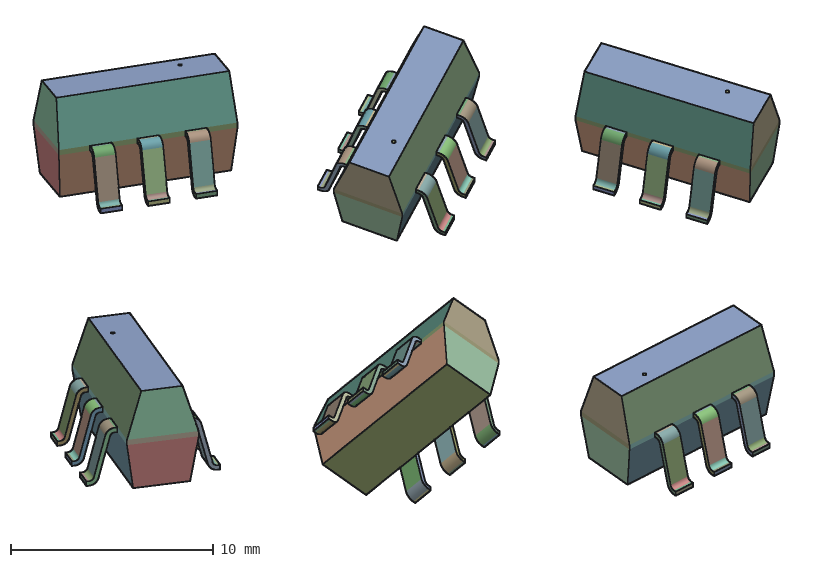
import cadquery as cq
import math

overall_width = 6.91
overall_height = 5.51

body_width = 3.71
body_length = 9.4
top_width = 2.14
top_length = 9.1
bottom_width = 2.95
bottom_length = 9.01
belt_height = 0.28
body_bottom = 0.254
belt_bottom = 2.735
belt_top = belt_bottom + belt_height

leads_per_side = 3
lead_pitch = 2.5
lead_width = 1.13
lead_thickness = 0.254
leg_lean = 15
bend_inner_radius = 0.25
bend_outer_radius = bend_inner_radius + lead_thickness
lead_bottom_at_body = belt_bottom
lead_top = lead_bottom_at_body + lead_thickness

marker_diameter = 0.18
marker_depth = 0.1
marker_x = -0.42
marker_y = lead_pitch


def tapered_block(width, length, z, end_width, end_length, end_z):
    """Straight-sided block between two centred rectangles at different heights."""
    return (
        cq.Workplane("XY", origin=(0, 0, z))
        .rect(width, length)
        .workplane(offset=end_z - z)
        .rect(end_width, end_length)
        .loft(ruled=True)
    )


def make_marker():
    return (
        cq.Workplane("XY", origin=(marker_x, marker_y, overall_height - marker_depth))
        .circle(marker_diameter / 2)
        .extrude(marker_depth)
    )


def make_body():
    belt = cq.Workplane("XY", origin=(0, 0, belt_bottom)).rect(body_width, body_length).extrude(belt_height)
    upper = tapered_block(body_width, body_length, belt_top, top_width, top_length, overall_height)
    lower = tapered_block(bottom_width, bottom_length, body_bottom, body_width, body_length, belt_bottom)
    return belt.union(upper).union(lower).cut(make_marker())


def make_lead(y):
    """Lead on the +X side, centred at y, butting against the body's belt."""
    wall_x = body_width / 2
    tip_x = overall_width / 2
    bend_angle = 90 - leg_lean

    middle_radius = (bend_inner_radius + bend_outer_radius) / 2
    bend_run = middle_radius * math.sin(math.radians(bend_angle))
    bend_drop = middle_radius * (1 - math.cos(math.radians(bend_angle)))
    leg_drop = lead_bottom_at_body - 2 * bend_drop
    leg_run = leg_drop * math.tan(math.radians(leg_lean))
    flat_length = (tip_x - wall_x - 2 * bend_run - leg_run) / 2

    shoulder_center = (wall_x + flat_length, lead_top - bend_outer_radius)
    foot_center = (tip_x - flat_length, bend_outer_radius)

    def shoulder_point(radius, angle):
        """Point on the shoulder bend, turned from straight up towards +X."""
        turn = math.radians(angle)
        return (
            shoulder_center[0] + radius * math.sin(turn),
            shoulder_center[1] + radius * math.cos(turn),
        )

    def foot_point(radius, angle):
        """Point on the foot bend, turned from straight down towards -X."""
        turn = math.radians(angle)
        return (
            foot_center[0] - radius * math.sin(turn),
            foot_center[1] - radius * math.cos(turn),
        )

    half_angle = bend_angle / 2
    profile = (
        cq.Workplane("XZ", origin=(0, y + lead_width / 2, 0))
        .moveTo(wall_x, lead_top)
        .lineTo(*shoulder_point(bend_outer_radius, 0))
        .threePointArc(
            shoulder_point(bend_outer_radius, half_angle),
            shoulder_point(bend_outer_radius, bend_angle),
        )
        .lineTo(*foot_point(bend_inner_radius, bend_angle))
        .threePointArc(foot_point(bend_inner_radius, half_angle), foot_point(bend_inner_radius, 0))
        .lineTo(tip_x, lead_thickness)
        .lineTo(tip_x, 0)
        .lineTo(*foot_point(bend_outer_radius, 0))
        .threePointArc(
            foot_point(bend_outer_radius, half_angle),
            foot_point(bend_outer_radius, bend_angle),
        )
        .lineTo(*shoulder_point(bend_inner_radius, bend_angle))
        .threePointArc(shoulder_point(bend_inner_radius, half_angle), shoulder_point(bend_inner_radius, 0))
        .lineTo(wall_x, lead_bottom_at_body)
        .close()
    )
    return profile.extrude(lead_width)


body = make_body()
marker = make_marker()

leads = []
for row in range(leads_per_side):
    lead_y = (row - (leads_per_side - 1) / 2) * lead_pitch
    right_lead = make_lead(lead_y)
    leads.append(right_lead.val())
    leads.append(right_lead.mirror("YZ").val())

result = cq.Compound.makeCompound([body.val(), marker.val(), *leads])